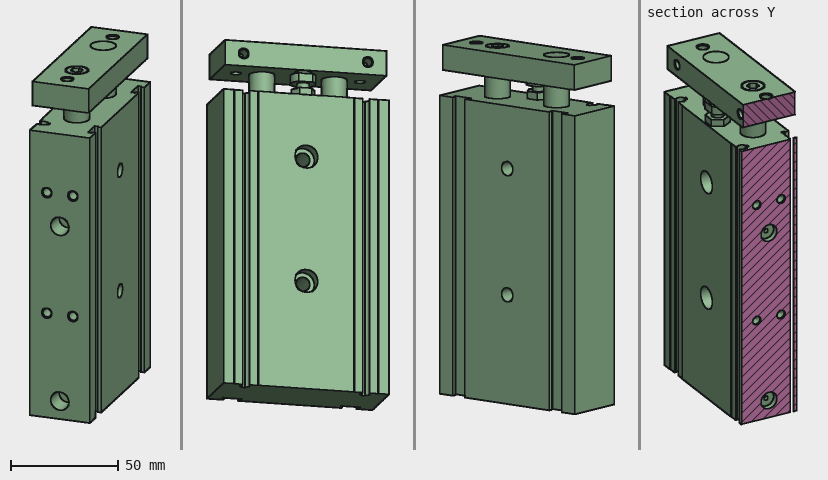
import cadquery as cq
import math

SMALL_TAP_DIAMETER = 4.13
SMALL_TAP_MOUTH_DIAMETER = 5.0
LARGE_TAP_DIAMETER = 4.92
LARGE_TAP_MOUTH_DIAMETER = 6.0
BLIND_TAP_DEPTH = 8.0
DRILL_TIP_ANGLE = 118.0

HOUSING_THICKNESS = 30.0
HOUSING_WIDTH = 80.0
HOUSING_HEIGHT = 142.0
FRONT_X = -HOUSING_THICKNESS / 2
BACK_X = HOUSING_THICKNESS / 2
SIDE_Y = -HOUSING_WIDTH / 2

SLOT_Y = 29.0
SLOT_NECK_WIDTH = 3.3
SLOT_POCKET_DIAMETER = 4.6
SLOT_POCKET_DEPTH = 2.7
SLOT_NOTCH_WIDTH = 1.5
SLOT_NOTCH_DEPTH = 5.7

RELIEF_HALF_WIDTH = 6.0
RELIEF_SLOPE_WIDTH = 0.5
RELIEF_DEPTH = 0.2

GROOVE_Y = 28.6
GROOVE_MOUTH_WIDTH = 7.2
GROOVE_LIP_THICKNESS = 1.8
GROOVE_POCKET_WIDTH = 9.0
GROOVE_DEPTH = 3.5

MOUNT_HOLE_DIAMETER = 6.65
MOUNT_COUNTERBORE_DIAMETER = 11.0
MOUNT_COUNTERBORE_DEPTH = 6.3

HOLE_ROW_HEIGHTS = (52.0, 112.0)
SIDE_HOLE_X = 6.5

PORT_HEIGHTS = (9.0, 96.0)
PORT_MOUTH_DIAMETER = 9.0
PORT_FLOOR_DIAMETER = 8.0
PORT_DEPTH = 10.0
PORT_ORIFICE_DIAMETER = 2.0
PORT_ORIFICE_DEPTH = 4.0

PLATE_THICKNESS = 28.0
PLATE_WIDTH = 78.0
PLATE_HEIGHT = 12.0
PLATE_GAP = 12.0
PLATE_BOTTOM_Z = HOUSING_HEIGHT + PLATE_GAP
PLATE_TOP_Z = PLATE_BOTTOM_Z + PLATE_HEIGHT
PLATE_FRONT_X = -PLATE_THICKNESS / 2

PLATE_HOLE_Y = 30.0

ROD_DIAMETER = 12.0
ROD_Y = 17.5
ROD_END_RECESS = 0.1

SCREW_POCKET_DIAMETER = 11.0
SCREW_HEAD_DIAMETER = 10.0
SCREW_HEAD_HEIGHT = 6.0
SOCKET_ACROSS_FLATS = 5.0
SOCKET_DEPTH = 3.0

BOLT_X = -9.0
COLLAR_DIAMETER = 8.0
COLLAR_HEIGHT = 1.5
BUMPER_DIAMETER = 12.0
BUMPER_HEIGHT = 4.0
NECK_DIAMETER = 6.0
NECK_HEIGHT = 3.0
NUT_ACROSS_FLATS = 10.0
NUT_HEIGHT = PLATE_GAP - COLLAR_HEIGHT - BUMPER_HEIGHT - NECK_HEIGHT


def box(x_range, y_range, z_range):
    """Box between the given limits along each axis."""
    corner = cq.Vector(x_range[0], y_range[0], z_range[0])
    return cq.Workplane(
        cq.Solid.makeBox(
            x_range[1] - x_range[0], y_range[1] - y_range[0], z_range[1] - z_range[0], corner
        )
    )


def cylinder(diameter, length, start, direction):
    """Cylinder that runs from the start point along the direction."""
    return cq.Workplane(
        cq.Solid.makeCylinder(diameter / 2, length, cq.Vector(*start), cq.Vector(*direction))
    )


def cone(start_diameter, end_diameter, length, start, direction):
    """Cone frustum that runs from the start point along the direction."""
    return cq.Workplane(
        cq.Solid.makeCone(
            start_diameter / 2, end_diameter / 2, length, cq.Vector(*start), cq.Vector(*direction)
        )
    )


def hexagon(across_flats, height, x, y, bottom_z):
    """Upright hexagonal prism with two flats facing -X and +X."""
    across_corners = across_flats / math.cos(math.pi / 6)
    return (
        cq.Workplane("XY", origin=(x, y, bottom_z))
        .transformed(rotate=(0, 0, 90))
        .polygon(6, across_corners)
        .extrude(height)
    )


def tapped_hole(diameter, mouth_diameter, depth, start, direction):
    """Straight hole with a 45 degree countersunk mouth."""
    mouth_depth = (mouth_diameter - diameter) / 2
    mouth = cone(mouth_diameter, diameter, mouth_depth, start, direction)
    return cylinder(diameter, depth, start, direction).union(mouth)


def blind_tapped_hole(start, direction):
    """Small tapped hole with a drill point beyond its full-diameter depth."""
    tip_length = SMALL_TAP_DIAMETER / 2 / math.tan(math.radians(DRILL_TIP_ANGLE / 2))
    tip_start = cq.Vector(*start) + cq.Vector(*direction) * BLIND_TAP_DEPTH
    tip = cone(SMALL_TAP_DIAMETER, 0, tip_length, tip_start.toTuple(), direction)
    hole = tapped_hole(
        SMALL_TAP_DIAMETER, SMALL_TAP_MOUTH_DIAMETER, BLIND_TAP_DEPTH, start, direction
    )
    return hole.union(tip)


def sensor_slot(y):
    """Slot with a round pocket, open to the -X face along the full height."""
    pocket_x = FRONT_X + SLOT_POCKET_DEPTH
    full_height = (0, HOUSING_HEIGHT)
    neck_half = SLOT_NECK_WIDTH / 2
    notch_half = SLOT_NOTCH_WIDTH / 2
    neck = box((FRONT_X, pocket_x), (y - neck_half, y + neck_half), full_height)
    notch = box(
        (pocket_x, FRONT_X + SLOT_NOTCH_DEPTH), (y - notch_half, y + notch_half), full_height
    )
    pocket = cylinder(SLOT_POCKET_DIAMETER, HOUSING_HEIGHT, (pocket_x, y, 0), (0, 0, 1))
    return neck.union(pocket).union(notch)


def slot_relief(y):
    """Shallow trapezoidal relief centred on a sensor slot."""
    floor_half = RELIEF_HALF_WIDTH - RELIEF_SLOPE_WIDTH
    floor_x = FRONT_X + RELIEF_DEPTH
    return (
        cq.Workplane("XY")
        .moveTo(FRONT_X, y - RELIEF_HALF_WIDTH)
        .lineTo(floor_x, y - floor_half)
        .lineTo(floor_x, y + floor_half)
        .lineTo(FRONT_X, y + RELIEF_HALF_WIDTH)
        .close()
        .extrude(HOUSING_HEIGHT)
    )


def back_groove(y):
    """T-shaped groove along the full height of the +X face."""
    full_height = (0, HOUSING_HEIGHT)
    floor_x = BACK_X - GROOVE_DEPTH
    mouth_half = GROOVE_MOUTH_WIDTH / 2
    pocket_half = GROOVE_POCKET_WIDTH / 2
    mouth = box((floor_x, BACK_X), (y - mouth_half, y + mouth_half), full_height)
    pocket = box(
        (floor_x, BACK_X - GROOVE_LIP_THICKNESS), (y - pocket_half, y + pocket_half), full_height
    )
    return mouth.union(pocket)


def mounting_hole(z):
    """Through hole along X, counterbored from the -X face."""
    start = (FRONT_X, 0, z)
    bore = cylinder(MOUNT_HOLE_DIAMETER, HOUSING_THICKNESS, start, (1, 0, 0))
    counterbore = cylinder(MOUNT_COUNTERBORE_DIAMETER, MOUNT_COUNTERBORE_DEPTH, start, (1, 0, 0))
    return bore.union(counterbore)


def air_port(z):
    """Tapered blind port from the -Y side with a small orifice in its floor."""
    start = (0, SIDE_Y, z)
    bore = cone(PORT_MOUTH_DIAMETER, PORT_FLOOR_DIAMETER, PORT_DEPTH, start, (0, 1, 0))
    orifice = cylinder(PORT_ORIFICE_DIAMETER, PORT_DEPTH + PORT_ORIFICE_DEPTH, start, (0, 1, 0))
    return bore.union(orifice)


def make_housing():
    """Cylinder housing with its slots, mounting holes and ports."""
    housing = box((FRONT_X, BACK_X), (SIDE_Y, -SIDE_Y), (0, HOUSING_HEIGHT))
    for side in (-1, 1):
        housing = housing.cut(slot_relief(side * SLOT_Y))
        housing = housing.cut(sensor_slot(side * SLOT_Y))
        housing = housing.cut(back_groove(side * GROOVE_Y))
    for z in HOLE_ROW_HEIGHTS:
        housing = housing.cut(mounting_hole(z))
        for x in (-SIDE_HOLE_X, SIDE_HOLE_X):
            housing = housing.cut(blind_tapped_hole((x, SIDE_Y, z), (0, 1, 0)))
    for z in PORT_HEIGHTS:
        housing = housing.cut(air_port(z))
    return housing


def make_plate():
    """Tool plate with its tapped holes."""
    plate = box(
        (PLATE_FRONT_X, -PLATE_FRONT_X),
        (-PLATE_WIDTH / 2, PLATE_WIDTH / 2),
        (PLATE_BOTTOM_Z, PLATE_TOP_Z),
    )
    face_hole_z = PLATE_BOTTOM_Z + PLATE_HEIGHT / 2
    for y in (-PLATE_HOLE_Y, PLATE_HOLE_Y):
        top_hole = tapped_hole(
            LARGE_TAP_DIAMETER,
            LARGE_TAP_MOUTH_DIAMETER,
            PLATE_HEIGHT,
            (0, y, PLATE_TOP_Z),
            (0, 0, -1),
        )
        plate = plate.cut(top_hole)
        plate = plate.cut(blind_tapped_hole((PLATE_FRONT_X, y, face_hole_z), (1, 0, 0)))
    return plate


def make_rod(y):
    """Exposed length of one rod, between the housing and the plate."""
    return cylinder(ROD_DIAMETER, PLATE_GAP, (0, y, HOUSING_HEIGHT), (0, 0, 1))


def screw_head_gap(y):
    """Ring-shaped gap around the screw head, together with its hexagon socket."""
    bottom_z = PLATE_TOP_Z - SCREW_HEAD_HEIGHT
    pocket = cylinder(SCREW_POCKET_DIAMETER, SCREW_HEAD_HEIGHT, (0, y, bottom_z), (0, 0, 1))
    head = cylinder(SCREW_HEAD_DIAMETER, SCREW_HEAD_HEIGHT, (0, y, bottom_z), (0, 0, 1))
    socket = hexagon(SOCKET_ACROSS_FLATS, SOCKET_DEPTH, 0, y, PLATE_TOP_Z - SOCKET_DEPTH)
    return pocket.cut(head).union(socket)


def make_stop_bolt():
    """Collar, flatted bumper, neck and hexagon nut stacked below the plate."""
    nut_top_z = HOUSING_HEIGHT + NUT_HEIGHT
    bumper_bottom_z = nut_top_z + NECK_HEIGHT
    collar_bottom_z = bumper_bottom_z + BUMPER_HEIGHT
    up = (0, 0, 1)
    nut = hexagon(NUT_ACROSS_FLATS, NUT_HEIGHT, BOLT_X, 0, HOUSING_HEIGHT)
    neck = cylinder(NECK_DIAMETER, NECK_HEIGHT, (BOLT_X, 0, nut_top_z), up)
    bumper = cylinder(BUMPER_DIAMETER, BUMPER_HEIGHT, (BOLT_X, 0, bumper_bottom_z), up)
    beyond_plate = box(
        (PLATE_FRONT_X - BUMPER_DIAMETER, PLATE_FRONT_X),
        (-BUMPER_DIAMETER, BUMPER_DIAMETER),
        (HOUSING_HEIGHT, PLATE_BOTTOM_Z),
    )
    bumper = bumper.cut(beyond_plate)
    collar = cylinder(COLLAR_DIAMETER, COLLAR_HEIGHT, (BOLT_X, 0, collar_bottom_z), up)
    return nut.union(neck).union(bumper).union(collar)


def make_slide():
    """Moving body: plate, rods, rod screw and stop bolt as one solid."""
    slide = make_plate()
    for y in (-ROD_Y, ROD_Y):
        slide = slide.union(make_rod(y))
    slide = slide.union(make_stop_bolt())
    slide = slide.cut(screw_head_gap(-ROD_Y))
    rod_end = cylinder(ROD_DIAMETER, ROD_END_RECESS, (0, ROD_Y, PLATE_TOP_Z), (0, 0, -1))
    return slide.cut(rod_end)


housing = make_housing()
slide = make_slide()

result = cq.Compound.makeCompound([housing.val(), slide.val()])